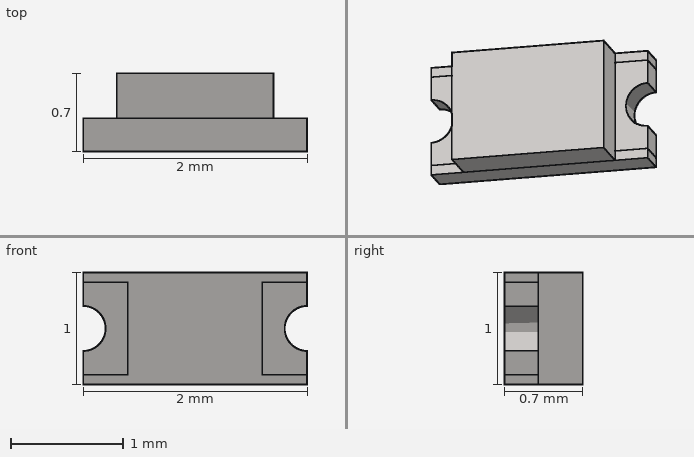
import cadquery as cq

board_length = 2.0
height = 1.0
total_depth = 0.7
lens_length = 1.4
lens_depth = 0.4
terminal_length = 0.4
terminal_height = 0.825
notch_radius = 0.2

joint_y = total_depth - lens_depth


def block(length, depth, block_height, center_x, start_y):
    """Box centred on center_x and Z = 0, reaching from start_y towards +Y."""
    return (
        cq.Workplane("XY")
        .box(length, depth, block_height, centered=(True, False, True))
        .translate((center_x, start_y, 0))
    )


def terminal_block(side):
    """Plain terminal block at one end, side = -1 or +1, before notching."""
    center_x = side * (board_length - terminal_length) / 2
    return block(terminal_length, joint_y, terminal_height, center_x, 0)


def make_terminal(side):
    """Terminal with a half-round notch through its depth at the outer end."""
    notch = (
        cq.Workplane("XZ")
        .center(side * board_length / 2, 0)
        .circle(notch_radius)
        .extrude(-joint_y)
    )
    return terminal_block(side).cut(notch)


def make_board():
    """Board with an open recess at each end that holds a terminal."""
    board = block(board_length, joint_y, height, 0, 0)
    for side in (-1, 1):
        board = board.cut(terminal_block(side))
    return board


def make_lens():
    """Lens block sitting on the +Y face of the board."""
    return block(lens_length, lens_depth, height, 0, joint_y)


board = make_board()
lens = make_lens()
terminals = [make_terminal(side) for side in (-1, 1)]

result = cq.Compound.makeCompound(
    [board.val(), lens.val(), *[terminal.val() for terminal in terminals]]
)